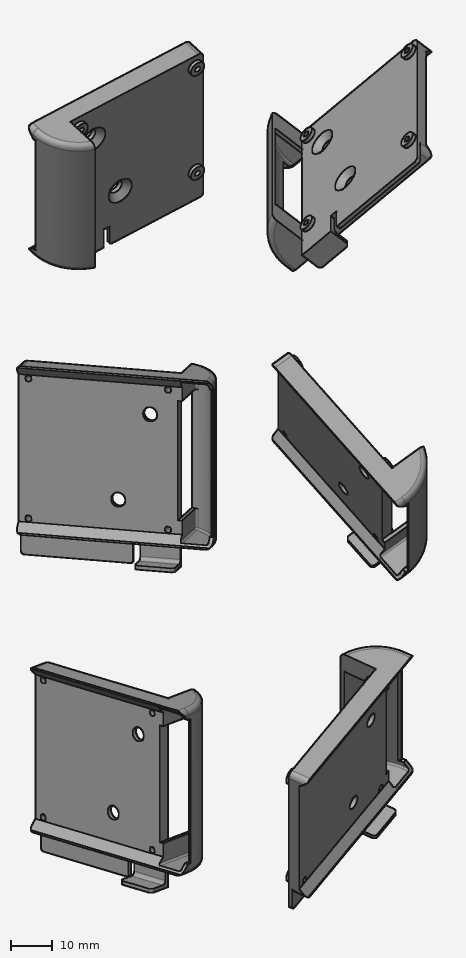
import cadquery as cq
import math

WIDTH = 49.0
TOP_Z = 48.25
BODY_BOTTOM_Z = 6.1
BODY_HEIGHT = TOP_Z - BODY_BOTTOM_Z
RIM_X = 0.9
FLOOR_X = 3.1
BACK_X = 6.1
CLEAR = 2.45

TIP_X = 16.0
COLUMN_BACK_Y = 9.0
WALL = 1.05
EDGE_RADIUS = 1.5
POCKET_RADIUS = EDGE_RADIUS - WALL
ARC_RADIUS = ((TIP_X - FLOOR_X) ** 2 + COLUMN_BACK_Y ** 2) / (2 * COLUMN_BACK_Y)

RIM_LIP = 0.5
TRAY_MARGIN = RIM_LIP + FLOOR_X - RIM_X
WINDOW_MARGIN = 6.15
NOTCH_DEPTH = 1.0
NOTCH_LIP = 0.5

SCREW_PITCH = 35.0
SCREW_Y = 11.5
SCREW_Z = 9.7
SCREW_DIAMETER = 1.55
BOSS_DIAMETER = 4.0
BOSS_HEIGHT = 1.05
ACCESS_HOLES = [(16.0, 38.15), (24.0, 16.2)]
ACCESS_DIAMETER = 3.55
ACCESS_SINK_DIAMETER = 7.0

TAB_THICKNESS = 1.05
TAB_OVERLAP = EDGE_RADIUS
WIDE_TAB_LENGTH = 28.1
WIDE_TAB_OUTER_RADIUS = 1.0
WIDE_TAB_INNER_RADIUS = 0.5
HOOK_LENGTH = 10.05
HOOK_RADIUS = 1.0


def arc_point(radius, y):
    """XY point at the given y on an arc about the column axis."""
    offset = ARC_RADIUS - y
    return FLOOR_X + math.sqrt(radius ** 2 - offset ** 2), y


def box(x0, x1, y0, y1, z0, z1):
    return cq.Workplane("XY").box(x1 - x0, y1 - y0, z1 - z0, centered=False).translate((x0, y0, z0))


def body_blank():
    """Plate and column as one prism, rounded at the end corners and along the outer arc."""
    blank = (
        cq.Workplane("XY", origin=(0, 0, BODY_BOTTOM_Z))
        .moveTo(RIM_X, 0)
        .lineTo(FLOOR_X, 0)
        .threePointArc(arc_point(ARC_RADIUS, COLUMN_BACK_Y / 4), (TIP_X, COLUMN_BACK_Y))
        .lineTo(BACK_X, COLUMN_BACK_Y)
        .lineTo(BACK_X, WIDTH)
        .lineTo(RIM_X, WIDTH)
        .close()
        .extrude(BODY_HEIGHT)
    )
    ends = blank.faces("<Y or >Y").edges("|X")
    curve = blank.faces("<Z or >Z").edges("%CIRCLE")
    return blank.newObject(ends.vals() + curve.vals()).fillet(EDGE_RADIUS)


def tray_cut():
    """Shallow tray with 45 degree top and bottom slopes, open at both Y ends."""
    low = BODY_BOTTOM_Z + TRAY_MARGIN
    high = TOP_Z - TRAY_MARGIN
    spread = FLOOR_X - RIM_X + CLEAR
    return (
        cq.Workplane("XZ", origin=(0, -CLEAR, 0))
        .polyline([(FLOOR_X, low), (FLOOR_X, high), (FLOOR_X - spread, high + spread),
                   (FLOOR_X - spread, low - spread)])
        .close()
        .extrude(-(WIDTH + 2 * CLEAR))
    )


def column_prism(back_y, margin):
    """Inside of the column wall up to back_y, set in by margin from top and bottom."""
    inner = ARC_RADIUS - WALL
    return (
        cq.Workplane("XY", origin=(0, 0, BODY_BOTTOM_Z + margin))
        .moveTo(0, WALL)
        .lineTo(FLOOR_X, WALL)
        .threePointArc(arc_point(inner, back_y / 2), arc_point(inner, back_y))
        .lineTo(0, back_y)
        .close()
        .extrude(BODY_HEIGHT - 2 * margin)
    )


def column_pocket():
    """Hollow of the column with rounded inner edges, open to the front."""
    pocket = column_prism(COLUMN_BACK_Y - WALL, WALL)
    return pocket.edges("not(<X)").fillet(POCKET_RADIUS)


def notch_cut():
    """Recess along the free edge of the column wall, bevelled on the inside."""
    floor = FLOOR_X + NOTCH_DEPTH
    bevel = 2 * (WALL - NOTCH_LIP)
    return (
        cq.Workplane("XY", origin=(0, 0, BODY_BOTTOM_Z + TRAY_MARGIN))
        .polyline([(0, -CLEAR), (floor, -CLEAR), (floor, NOTCH_LIP),
                   (floor + bevel, NOTCH_LIP + bevel), (0, NOTCH_LIP + bevel)])
        .close()
        .extrude(BODY_HEIGHT - 2 * TRAY_MARGIN)
    )


def rod(y, z, diameter, x0, x1):
    return cq.Workplane("YZ", origin=(x0, y, z)).circle(diameter / 2).extrude(x1 - x0)


def countersink(y, z):
    """Cone that narrows forward from the rear face down to the access hole."""
    depth = (ACCESS_SINK_DIAMETER - ACCESS_DIAMETER) / 2
    cone = cq.Solid.makeCone(
        ACCESS_DIAMETER / 2, ACCESS_SINK_DIAMETER / 2, depth,
        pnt=cq.Vector(BACK_X - depth, y, z), dir=cq.Vector(1, 0, 0),
    )
    return cq.Workplane(cone)


def wide_tab():
    """Flat tab flush with the rear of the plate at the +Y end."""
    tab = box(BACK_X - TAB_THICKNESS, BACK_X, WIDTH - WIDE_TAB_LENGTH, WIDTH,
              0, BODY_BOTTOM_Z + TAB_OVERLAP)
    tab = tab.edges("|X and >Y and <Z").fillet(WIDE_TAB_OUTER_RADIUS)
    return tab.edges("|X and <Y and <Z").fillet(WIDE_TAB_INNER_RADIUS)


def hook():
    """L-shaped hook whose foot reaches forward past the rim."""
    y0 = COLUMN_BACK_Y
    y1 = y0 + HOOK_LENGTH
    leg_x = BACK_X - TAB_THICKNESS
    leg = box(leg_x, BACK_X, y0, y1, 0, BODY_BOTTOM_Z + TAB_OVERLAP)
    foot = box(0, BACK_X, y0, y1, 0, TAB_THICKNESS).edges("|Z and <X").fillet(HOOK_RADIUS)
    inner_corner = cq.selectors.NearestToPointSelector((leg_x, (y0 + y1) / 2, TAB_THICKNESS))
    return leg.union(foot).edges(inner_corner).fillet(HOOK_RADIUS)


result = body_blank().cut(tray_cut()).cut(column_pocket())
result = result.cut(column_prism(COLUMN_BACK_Y, WINDOW_MARGIN)).cut(notch_cut())
result = result.union(wide_tab()).union(hook())

for y in (SCREW_Y, SCREW_Y + SCREW_PITCH):
    for z in (SCREW_Z, SCREW_Z + SCREW_PITCH):
        result = result.union(rod(y, z, BOSS_DIAMETER, BACK_X, BACK_X + BOSS_HEIGHT))
        result = result.cut(rod(y, z, SCREW_DIAMETER, 0, BACK_X + BOSS_HEIGHT))

for y, z in ACCESS_HOLES:
    result = result.cut(rod(y, z, ACCESS_DIAMETER, 0, BACK_X))
    result = result.cut(countersink(y, z))